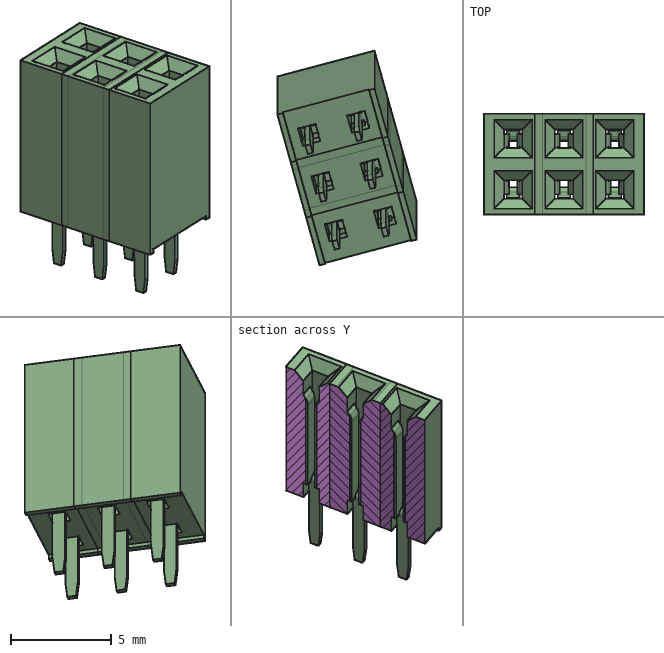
import cadquery as cq
import math


module_count = 3
pitch = 2.54
overall_length = 8.02
overall_depth = 5.04
overall_height = 11.5
housing_height = 8.51
tail_length = overall_height - housing_height

lap_width = overall_length - module_count * pitch
skirt_height = 0.21
skirt_thickness = 0.29
funnel_width = 1.9
throat_width = 0.91
funnel_depth = (funnel_width - throat_width) / 2

sheet_thickness = 0.25
tail_width = 0.64
tip_width = 0.45
taper_length = 0.79
bend_radius = 0.29
root_slope = math.radians(10)
root_end = 0.41
root_level = 1.15
arm_gap = 0.4
arm_back = 0.24
arm_front = -0.43
bulge_radius = 0.68
flare_angle = math.radians(57)
flare_clearance = 0.92


def housing_block(x_start, x_end):
    """Plain length of housing: full depth and height, with a skirt along each long side."""
    block = cq.Workplane("XY").box(
        x_end - x_start, overall_depth, housing_height, centered=(False, True, False)
    )
    underside = cq.Workplane("XY").box(
        x_end - x_start, overall_depth - 2 * skirt_thickness, skirt_height, centered=(False, True, False)
    )
    return block.cut(underside).translate((x_start, 0, 0))


def socket_passage():
    """Funnel and square throat, centred on the contact axis."""
    funnel = (
        cq.Workplane("XY", origin=(0, 0, housing_height))
        .rect(funnel_width, funnel_width)
        .workplane(offset=-funnel_depth)
        .rect(throat_width, throat_width)
        .loft(ruled=True)
    )
    throat = cq.Workplane("XY").box(throat_width, throat_width, housing_height, centered=(True, True, False))
    return throat.union(funnel)


def tail():
    """Flat tail with a tip that narrows in X, reaching up to the bend."""
    taper_top = taper_length - tail_length
    return (
        cq.Workplane("XZ")
        .moveTo(-tail_width / 2, root_level)
        .lineTo(tail_width / 2, root_level)
        .lineTo(tail_width / 2, taper_top)
        .lineTo(tip_width / 2, -tail_length)
        .lineTo(-tip_width / 2, -tail_length)
        .lineTo(-tail_width / 2, taper_top)
        .close()
        .extrude(sheet_thickness / 2, both=True)
    )


def bent_root():
    """Bend at the head of the tail and the gently rising plate behind it."""
    bend_y = bend_radius - sheet_thickness / 2
    inner_radius = bend_radius - sheet_thickness

    def on_bend(radius, angle):
        return (bend_y - radius * math.cos(angle), root_level + radius * math.sin(angle))

    def plate_end(radius):
        rise = (root_end - bend_y) * math.tan(root_slope)
        return (root_end, root_level + radius / math.cos(root_slope) + rise)

    bend_angle = math.pi / 2 - root_slope
    return (
        cq.Workplane("YZ")
        .moveTo(*on_bend(bend_radius, 0))
        .threePointArc(on_bend(bend_radius, bend_angle / 2), on_bend(bend_radius, bend_angle))
        .lineTo(*plate_end(bend_radius))
        .lineTo(*plate_end(inner_radius))
        .lineTo(*on_bend(inner_radius, bend_angle))
        .threePointArc(on_bend(inner_radius, bend_angle / 2), on_bend(inner_radius, 0))
        .close()
        .extrude(tail_width / 2, both=True)
    )


def spring_arm():
    """Arm on the -X wall of the throat: a flare, a rounded bulge and a straight leg."""
    wall_x = -throat_width / 2
    bulge_x = -arm_gap / 2
    bulge_centre_x = bulge_x - bulge_radius
    flare_foot_x = bulge_centre_x + bulge_radius * math.sin(flare_angle)
    flare_top = housing_height - funnel_depth - flare_clearance
    flare_foot = flare_top - (flare_foot_x - wall_x) * math.tan(flare_angle)
    bulge_level = flare_foot - bulge_radius * math.cos(flare_angle)
    mid_angle = flare_angle / 2 + math.pi / 4
    bulge_middle = (
        bulge_centre_x + bulge_radius * math.sin(mid_angle),
        bulge_level + bulge_radius * math.cos(mid_angle),
    )
    flare = (
        cq.Workplane("XZ", origin=(0, arm_back, 0))
        .moveTo(wall_x, root_level)
        .lineTo(wall_x, flare_top)
        .lineTo(flare_foot_x, flare_foot)
        .lineTo(flare_foot_x, root_level)
        .close()
        .extrude(arm_back + throat_width / 2)
    )
    leg = (
        cq.Workplane("XZ", origin=(0, arm_back, 0))
        .moveTo(flare_foot_x, root_level)
        .lineTo(flare_foot_x, flare_foot)
        .threePointArc(bulge_middle, (bulge_x, bulge_level))
        .lineTo(bulge_x, root_level)
        .close()
        .extrude(arm_back - arm_front)
    )
    return flare.union(leg)


def contact():
    """Contact on the Z axis with its root plate towards +Y."""
    arm = spring_arm()
    return tail().union(bent_root()).union(arm).union(arm.mirror("YZ"))


def socket_module(x_centre, x_start, x_end):
    """Length of housing with its two contacts; the rows face each other across Y."""
    body = housing_block(x_start, x_end)
    passage = socket_passage()
    back_contact = contact()
    rows = ((pitch / 2, back_contact), (-pitch / 2, back_contact.mirror("XZ")))
    for y_row, row_contact in rows:
        body = body.cut(passage.translate((x_centre, y_row, 0)))
        body = body.union(row_contact.translate((x_centre, y_row, 0)))
    return body


def middle_module(x_centre, x_start, x_end):
    """Module with a lap strip on each side; the strip faces stay distinct from the core faces."""
    body = socket_module(x_centre, x_start + lap_width, x_end - lap_width)
    for strip_start in (x_start, x_end - lap_width):
        body = body.union(housing_block(strip_start, strip_start + lap_width), clean=False)
    return body


half_length = overall_length / 2
end_module_width = pitch
modules = [
    socket_module(-pitch, -half_length, -half_length + end_module_width),
    middle_module(0, -half_length + end_module_width, half_length - end_module_width),
    socket_module(pitch, half_length - end_module_width, half_length),
]

result = cq.Compound.makeCompound([module.val() for module in modules])